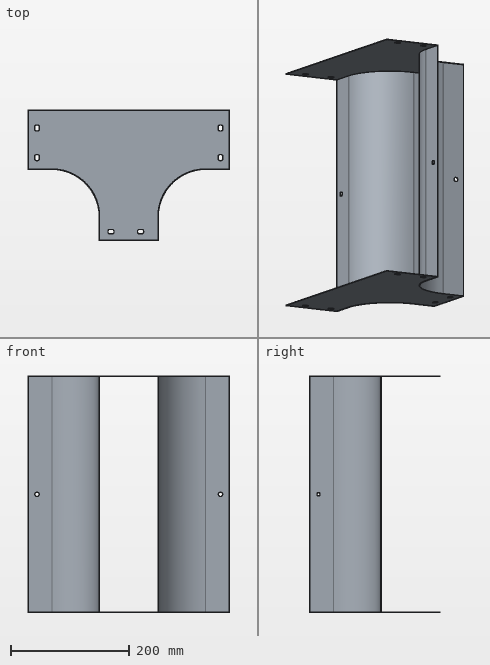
import cadquery as cq

tray_width = 100.0
bend_radius = 80.0
straight_length = 40.0
height = 400.0
sheet = 1.0

slot_width = 7.0
slot_length = 10.0
end_margin = 15.0
slot_spacing = 50.0
slot_pair_shift = 5.0
wall_hole_diameter = 7.0
far_hole_diameter = 5.0

arm_reach = bend_radius + straight_length
half_stem = tray_width / 2
half_length = half_stem + arm_reach
stem_end = -(tray_width + arm_reach)
bend_center_x = half_stem + bend_radius
bend_center_y = -(tray_width + bend_radius)


def tee_plate(bottom):
    """Flat tee with rounded inside corners, its lower face at Z = bottom."""
    return (
        cq.Workplane("XY", origin=(0, 0, bottom))
        .moveTo(-half_length, 0)
        .lineTo(half_length, 0)
        .lineTo(half_length, -tray_width)
        .lineTo(bend_center_x, -tray_width)
        .radiusArc((half_stem, bend_center_y), -bend_radius)
        .lineTo(half_stem, stem_end)
        .lineTo(-half_stem, stem_end)
        .lineTo(-half_stem, bend_center_y)
        .radiusArc((-bend_center_x, -tray_width), -bend_radius)
        .lineTo(-half_length, -tray_width)
        .close()
        .extrude(sheet)
    )


def side_wall():
    """Full-height wall along the +X corner, just inside the plate edge."""
    inside_face_radius = bend_radius + sheet
    return (
        cq.Workplane("XY")
        .moveTo(half_length, -tray_width)
        .lineTo(bend_center_x, -tray_width)
        .radiusArc((half_stem, bend_center_y), -bend_radius)
        .lineTo(half_stem, stem_end)
        .lineTo(half_stem - sheet, stem_end)
        .lineTo(half_stem - sheet, bend_center_y)
        .radiusArc((bend_center_x, -tray_width + sheet), inside_face_radius)
        .lineTo(half_length, -tray_width + sheet)
        .close()
        .extrude(height)
    )


def slot_cutter(x, y, size_x, size_y):
    """Round punch with two flats, long enough to pass through both plates."""
    punch = cq.Workplane("XY").center(x, y).circle(slot_length / 2).extrude(height)
    flats = cq.Workplane("XY").center(x, y).rect(size_x, size_y).extrude(height)
    return punch.intersect(flats)


def plate_slots():
    """Cutters for the pair of slots at each open end of the tee."""
    crossbar_x = half_length - end_margin
    stem_y = stem_end + end_margin
    cutters = cq.Workplane("XY")
    for side in (-1, 1):
        offset = side * slot_spacing / 2 - slot_pair_shift
        for end in (-1, 1):
            cutters = cutters.add(
                slot_cutter(end * crossbar_x, offset - tray_width / 2, slot_width, slot_length)
            )
        cutters = cutters.add(slot_cutter(offset, stem_y, slot_length, slot_width))
    return cutters.combine()


def wall_holes():
    """Cutters for the mid-height holes near the ends of the walls."""
    hole_x = half_length - end_margin
    crossbar_holes = (
        cq.Workplane("XZ", origin=(0, 0, height / 2))
        .pushPoints([(-hole_x, 0), (hole_x, 0)])
        .circle(wall_hole_diameter / 2)
        .extrude(2 * tray_width)
    )
    stem_hole_plane = cq.Workplane("YZ", origin=(0, stem_end + end_margin, height / 2))
    near_hole = stem_hole_plane.circle(wall_hole_diameter / 2).extrude(-tray_width)
    far_hole = stem_hole_plane.circle(far_hole_diameter / 2).extrude(tray_width)
    return crossbar_holes.union(near_hole).union(far_hole)


right_wall = side_wall()
left_wall = right_wall.mirror("YZ")
body = (
    tee_plate(0)
    .union(tee_plate(height - sheet))
    .union(right_wall)
    .union(left_wall)
)
result = body.cut(plate_slots()).cut(wall_holes())